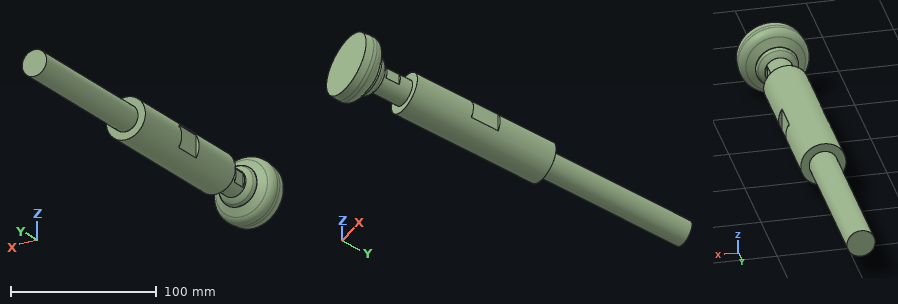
import cadquery as cq
import math

total_length = 280.0

rod_radius = 20.0 / 2
rod_flat_width = 17.0
rod_flat_start = 27.2
rod_flat_length = 11.0

foot_radius = 50.0 / 2
sole_radius = 24.5
rim_start = 6.0
rim_end = 8.7
shoulder_radius = 14.3
cone_angle = math.radians(25.6)
foot_round = 7.3

collar_radius = 15.0
collar_base = 19.3
collar_edge_radius = 14.0
collar_edge_height = 22.5
collar_top = 25.5
collar_bulge = 0.22

sleeve_radius = 32.0 / 2
sleeve_start = 48.2
sleeve_length = 115.0
sleeve_flat_width = 27.2
sleeve_flat_length = 22.0


def cylinder(radius, start, length):
    """Cylinder on the Y axis that rises from Y = start."""
    return cq.Workplane("XZ", origin=(0, start, 0)).circle(radius).extrude(-length)


def cut_flats(body, radius, width, start, length):
    """Cut two parallel flats, facing -X and +X, over a stretch of the body."""
    depth = radius - width / 2
    for side in (-1, 1):
        cutter = cq.Workplane("XY").box(depth, length, 2 * radius)
        center_x = side * (width + depth) / 2
        body = body.cut(cutter.translate((center_x, start + length / 2, 0)))
    return body


def make_foot():
    """Foot with its collar, revolved about the Y axis."""
    round_center_x = foot_radius - foot_round
    cone_end_x = round_center_x + foot_round * math.sin(cone_angle)
    cone_end_y = rim_end + foot_round * math.cos(cone_angle)
    shoulder_height = cone_end_y + (cone_end_x - shoulder_radius) * math.tan(cone_angle)
    middle_angle = (math.pi / 2 - cone_angle) / 2
    round_middle = (
        round_center_x + foot_round * math.cos(middle_angle),
        rim_end + foot_round * math.sin(middle_angle),
    )
    collar_side_middle = (
        (collar_radius + collar_edge_radius) / 2 + collar_bulge,
        (collar_base + collar_edge_height) / 2 + collar_bulge,
    )
    collar_top_middle = (
        (collar_edge_radius + rod_radius) / 2 + collar_bulge,
        (collar_edge_height + collar_top) / 2 + collar_bulge,
    )
    return (
        cq.Workplane("XY")
        .lineTo(sole_radius, 0)
        .lineTo(foot_radius, rim_start)
        .lineTo(foot_radius, rim_end)
        .threePointArc(round_middle, (cone_end_x, cone_end_y))
        .lineTo(shoulder_radius, shoulder_height)
        .lineTo(collar_radius, collar_base)
        .threePointArc(collar_side_middle, (collar_edge_radius, collar_edge_height))
        .threePointArc(collar_top_middle, (rod_radius, collar_top))
        .lineTo(0, collar_top)
        .close()
        .revolve(360, (0, 0, 0), (0, 1, 0))
    )


def make_spindle():
    """Long rod with wrench flats, in one piece with the collar and the foot."""
    rod = cylinder(rod_radius, collar_top, total_length - collar_top)
    rod = cut_flats(rod, rod_radius, rod_flat_width, rod_flat_start, rod_flat_length)
    return rod.union(make_foot())


def make_sleeve():
    """Tube around the rod with wrench flats halfway along it."""
    bore = cylinder(rod_radius, sleeve_start, sleeve_length)
    sleeve = cylinder(sleeve_radius, sleeve_start, sleeve_length).cut(bore)
    flat_start = sleeve_start + (sleeve_length - sleeve_flat_length) / 2
    return cut_flats(sleeve, sleeve_radius, sleeve_flat_width, flat_start, sleeve_flat_length)


spindle = make_spindle()
sleeve = make_sleeve()

result = cq.Compound.makeCompound([spindle.val(), sleeve.val()])